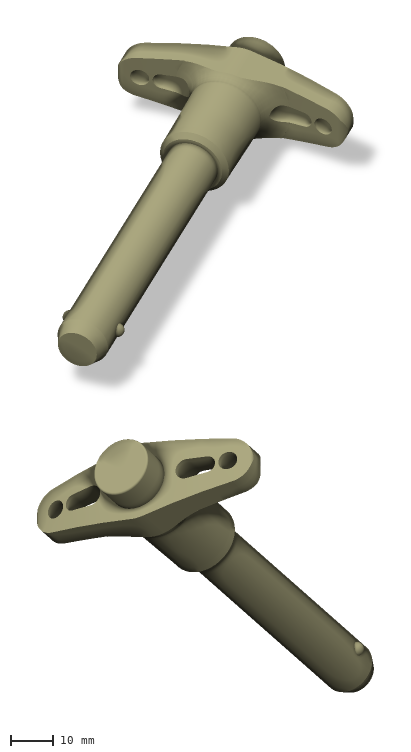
import cadquery as cq
import math

total_length = 113.3

shank_radius = 6.5
tip_radius = 5.0
tip_taper_length = 3.4
ball_radius = 1.7
ball_offset = 6.1
ball_y = 10.2

collar_start_y = 72.5
collar_nose_radius = 7.6
collar_nose_length = 1.2
collar_front_radius = 8.8
collar_front_length = 3.4
collar_back_diameter = 18.2
collar_back_radius = collar_back_diameter / 2
collar_back_y = 93.3
collar_band_length = 0.8
flare_rim_radius = 14.8

button_radius = 7.4
button_length = 7.9
button_rounding = 0.5

handle_half_length = 29.6
handle_width = 20.3
handle_crown_radius = handle_width / 2
handle_end_radius = 6.0
handle_end_x = handle_half_length - handle_end_radius
handle_top_y = total_length - button_length
handle_top_arc_radius = 125.7
handle_under_y = 98.5
handle_under_arc_radius = 186.9
handle_inner_rounding = 1.8
handle_outer_rounding = 0.9

hole_diameter = 4.6
slot_inner_x = 12.9
slot_inner_radius = 2.6
slot_outer_x = 18.2
slot_outer_radius = 2.2


def arc_drop(radius, x):
    """Fall of an arc below its crown at distance x from the centre line."""
    return radius - math.sqrt(radius**2 - x**2)


def tapered_prism(x_big, r_big, x_small, r_small):
    """Prism along Y around two circles joined by their outer tangents."""
    tangent_sin = (r_big - r_small) / (x_small - x_big)
    tangent_cos = math.sqrt(1 - tangent_sin**2)
    big_x = x_big + r_big * tangent_sin
    big_z = r_big * tangent_cos
    small_x = x_small + r_small * tangent_sin
    small_z = r_small * tangent_cos
    return (
        cq.Workplane("XZ")
        .moveTo(big_x, big_z)
        .lineTo(small_x, small_z)
        .threePointArc((x_small + r_small, 0), (small_x, -small_z))
        .lineTo(big_x, -big_z)
        .threePointArc((x_big - r_big, 0), (big_x, big_z))
        .close()
        .extrude(-total_length)
    )


def mirrored_pair(body):
    return body.union(body.mirror("YZ"))


def make_pin():
    """Turned body: shank, collar with its flare, and push button."""
    flare_rim_y = handle_under_y - arc_drop(handle_under_arc_radius, flare_rim_radius)
    flare_width = flare_rim_radius - collar_back_radius
    flare_height = flare_rim_y - collar_back_y
    flare_arc_radius = (flare_width**2 + flare_height**2) / (2 * flare_height)
    return (
        cq.Workplane("XY")
        .lineTo(tip_radius, 0)
        .lineTo(shank_radius, tip_taper_length)
        .lineTo(shank_radius, collar_start_y)
        .lineTo(collar_nose_radius, collar_start_y)
        .lineTo(collar_front_radius, collar_start_y + collar_nose_length)
        .lineTo(collar_front_radius, collar_start_y + collar_front_length)
        .lineTo(collar_back_radius, collar_back_y - collar_band_length)
        .lineTo(collar_back_radius, collar_back_y)
        .radiusArc((flare_rim_radius, flare_rim_y), flare_arc_radius)
        .lineTo(flare_rim_radius, handle_under_y)
        .lineTo(button_radius, handle_under_y)
        .lineTo(button_radius, total_length - button_rounding)
        .radiusArc((button_radius - button_rounding, total_length), -button_rounding)
        .lineTo(0, total_length)
        .close()
        .revolve(360, (0, 0), (0, 1))
    )


def make_handle_bar():
    """Bowed bar bounded by two arcs, with rounded end corners."""
    end = handle_half_length
    top_end_y = handle_top_y - arc_drop(handle_top_arc_radius, end)
    under_end_y = handle_under_y - arc_drop(handle_under_arc_radius, end)
    return (
        cq.Workplane("XY")
        .moveTo(-end, under_end_y)
        .threePointArc((0, handle_under_y), (end, under_end_y))
        .lineTo(end, top_end_y)
        .threePointArc((0, handle_top_y), (-end, top_end_y))
        .close()
        .extrude(handle_crown_radius, both=True)
        .edges("|Z and <Y")
        .fillet(handle_inner_rounding)
        .faces("<X or >X")
        .edges("|Z and >Y")
        .fillet(handle_outer_rounding)
    )


def make_wing_openings():
    hole = (
        cq.Workplane("XZ")
        .center(handle_end_x, 0)
        .circle(hole_diameter / 2)
        .extrude(-total_length)
    )
    slot = tapered_prism(slot_inner_x, slot_inner_radius, slot_outer_x, slot_outer_radius)
    return mirrored_pair(hole.union(slot))


def make_balls():
    ball = cq.Workplane("XY").sphere(ball_radius).translate((ball_offset, ball_y, 0))
    return mirrored_pair(ball)


outline = mirrored_pair(tapered_prism(0, handle_crown_radius, handle_end_x, handle_end_radius))
body = make_pin().union(make_handle_bar()).intersect(outline)
result = body.cut(make_wing_openings()).union(make_balls())